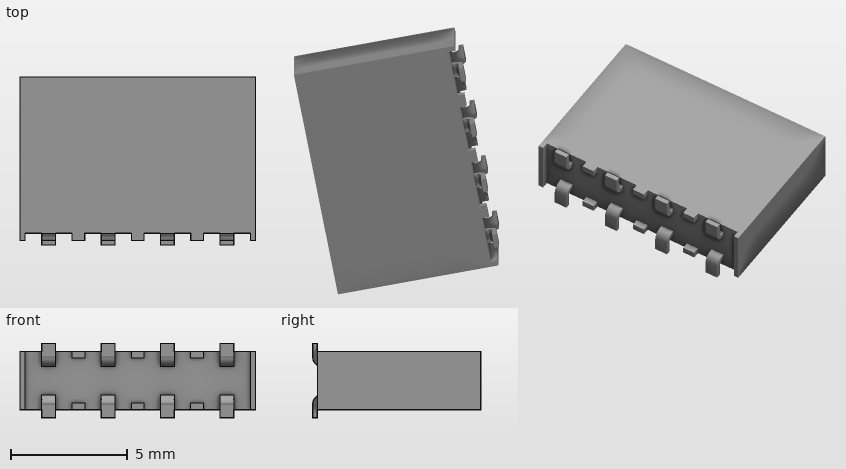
import cadquery as cq

body_length = 10.08
body_depth = 7.0
body_height = 2.5

recess_depth = 0.3
lip_width = 0.22

pin_count = 4
pin_pitch = 2.54
pin_width = 0.59
pin_thickness = 0.2
pin_span = 3.19
pad_height = 0.58
bend_inner_radius = 0.2
bend_outer_radius = bend_inner_radius + pin_thickness

standoff_width = 0.55
standoff_height = 0.29


def row_positions(count):
    """X positions of evenly pitched features centred on the part."""
    return [(i - (count - 1) / 2) * pin_pitch for i in range(count)]


def make_body():
    block = cq.Workplane("XY").box(body_length, body_depth, body_height, centered=(True, False, True))
    recess_length = body_length - 2 * lip_width
    recess = cq.Workplane("XY").box(recess_length, recess_depth, body_height, centered=(True, False, True))
    return block.cut(recess)


def make_standoff(x):
    """Upper standoff, flush with the top and front of the body."""
    return (
        cq.Workplane("XY")
        .box(standoff_width, recess_depth, standoff_height, centered=(True, False, False))
        .translate((x, 0, body_height / 2 - standoff_height))
    )


def make_pin(x):
    """Upper pin: a short stem from the recess wall that bends up into a flat pad."""
    pad_front = -pin_thickness
    pad_top = pin_span / 2
    bend_y = pad_front + bend_outer_radius
    bend_z = pad_top - pad_height
    return (
        cq.Workplane("YZ")
        .moveTo(pad_front, pad_top)
        .lineTo(pad_front, bend_z)
        .radiusArc((bend_y, bend_z - bend_outer_radius), -bend_outer_radius)
        .lineTo(recess_depth, bend_z - bend_outer_radius)
        .lineTo(recess_depth, bend_z - bend_inner_radius)
        .lineTo(bend_y, bend_z - bend_inner_radius)
        .radiusArc((0, bend_z), bend_inner_radius)
        .lineTo(0, pad_top)
        .close()
        .extrude(pin_width / 2, both=True)
        .translate((x, 0, 0))
    )


upper_features = [make_pin(x) for x in row_positions(pin_count)]
upper_features += [make_standoff(x) for x in row_positions(pin_count - 1)]

result = make_body()
for feature in upper_features:
    result = result.union(feature).union(feature.mirror("XY"))